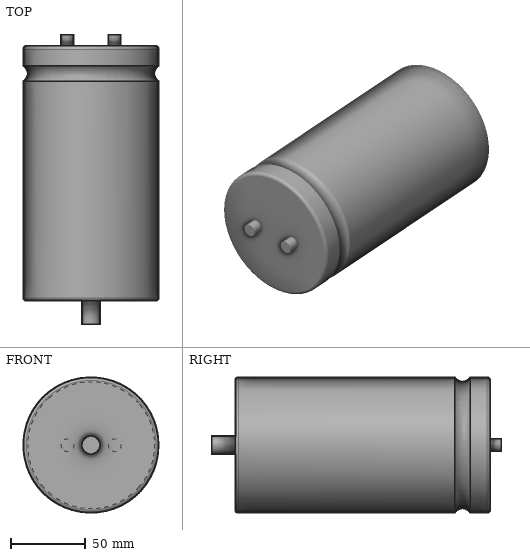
import cadquery as cq

overall_length = 194.6
can_diameter = 91.0
can_radius = can_diameter / 2

stud_diameter = 12.3
stud_length = 16.0

terminal_diameter = 8.5
terminal_height = 7.4
terminal_spacing = 31.7

base_fillet = 2.0
rim_fillet = 2.3

groove_width = 10.5
groove_depth = 3.0
groove_to_rim = 13.5

can_length = overall_length - stud_length - terminal_height
groove_top = can_length - groove_to_rim
groove_bottom = groove_top - groove_width
groove_middle = (groove_top + groove_bottom) / 2


def make_can():
    """Can revolved about Y, base at Y = 0, with an arc-shaped bead groove."""
    profile = (
        cq.Workplane("XY")
        .lineTo(can_radius, 0)
        .lineTo(can_radius, groove_bottom)
        .threePointArc((can_radius - groove_depth, groove_middle), (can_radius, groove_top))
        .lineTo(can_radius, can_length)
        .lineTo(0, can_length)
        .close()
    )
    can = profile.revolve(360, (0, 0, 0), (0, 1, 0))
    can = can.faces("<Y").edges().fillet(base_fillet)
    return can.faces(">Y").edges().fillet(rim_fillet)


def make_pin(diameter, start_y, end_y, x=0.0):
    """Round pin parallel to Y, centred at the given X and Z = 0."""
    length = end_y - start_y
    pin = cq.Solid.makeCylinder(diameter / 2, length, cq.Vector(x, start_y, 0), cq.Vector(0, 1, 0))
    return cq.Workplane(obj=pin)


result = make_can().union(make_pin(stud_diameter, -stud_length, 0))

for side in (-1, 1):
    terminal_x = side * terminal_spacing / 2
    terminal_end = can_length + terminal_height
    result = result.union(make_pin(terminal_diameter, can_length, terminal_end, terminal_x))